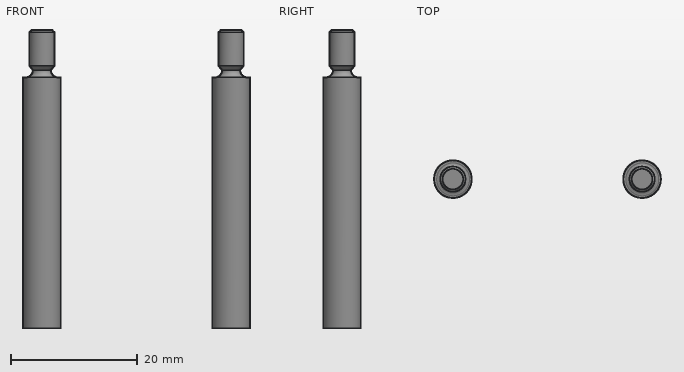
import cadquery as cq

total_height = 47.3
shank_diameter = 6.0
shank_height = 39.8
head_bottom = 41.62
pin_spacing = 30.0
head_diameter = 4.0
head_top_diameter = 3.25
neck_diameter = 2.9
neck_fillet_diameter = 5.2

shank_radius = shank_diameter / 2
head_radius = head_diameter / 2
head_top_radius = head_top_diameter / 2
neck_radius = neck_diameter / 2
fillet_outer_radius = neck_fillet_diameter / 2
neck_fillet_radius = fillet_outer_radius - neck_radius
top_chamfer = head_radius - head_top_radius

neck_top = shank_height + neck_fillet_radius


def make_pin(x_position):
    """Turned pin: plain shank, filleted neck and chamfered head."""
    profile = (
        cq.Workplane("XZ")
        .moveTo(0, 0)
        .lineTo(shank_radius, 0)
        .lineTo(shank_radius, shank_height)
        .lineTo(fillet_outer_radius, shank_height)
        .radiusArc((neck_radius, neck_top), neck_fillet_radius)
        .lineTo(head_radius, head_bottom)
        .lineTo(head_radius, total_height - top_chamfer)
        .lineTo(head_top_radius, total_height)
        .lineTo(0, total_height)
        .close()
    )
    pin = profile.revolve(360, (0, 0, 0), (0, 1, 0))
    return pin.translate((x_position, 0, 0))


pins = [make_pin(side * pin_spacing / 2) for side in (-1, 1)]

result = cq.Compound.makeCompound([pin.val() for pin in pins])